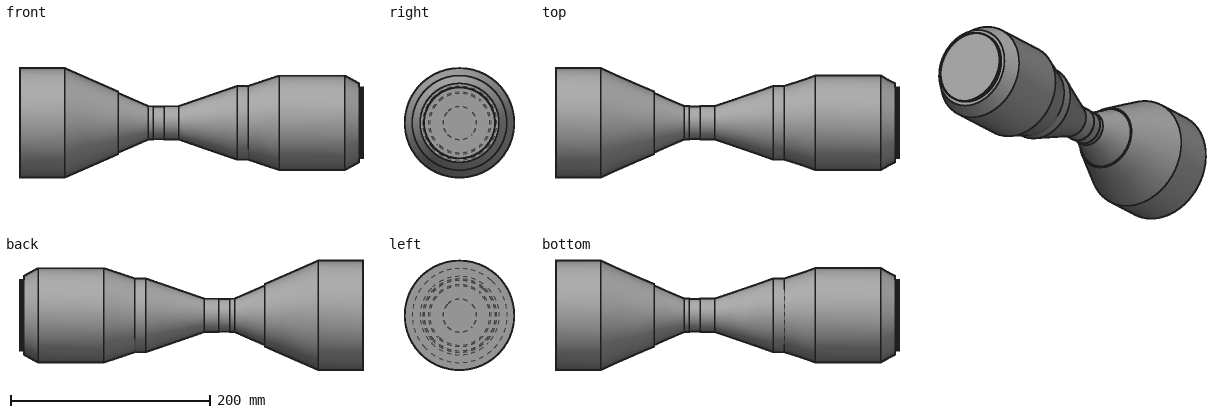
import cadquery as cq

total_length = 344.0
base_end = 44.7
cone_step = 98.7
neck_start = 128.5
neck_band_start = 133.8
neck_band_end = 144.5
neck_end = 159.3
collar_start = 218.0
collar_end = 229.0
head_start = 260.0
head_end = 325.8
head_tip = 340.2
spigot_groove_start = 341.2
spigot_groove_end = 343.0

base_radius = 55.0
upper_cone_radius = 31.3
lower_cone_radius = 30.0
neck_radius = 17.0
neck_band_radius = 16.5
collar_radius = 37.0
head_radius = 47.5
tip_radius = 39.5
spigot_radius = 35.8
spigot_groove_radius = 35.5

outer_profile = [
    (0, base_radius),
    (base_end, base_radius),
    (cone_step, upper_cone_radius),
    (cone_step, lower_cone_radius),
    (neck_start, neck_radius),
    (neck_band_start, neck_radius),
    (neck_band_start, neck_band_radius),
    (neck_band_end, neck_band_radius),
    (neck_band_end, neck_radius),
    (neck_end, neck_radius),
    (collar_start, collar_radius),
    (collar_end, collar_radius),
    (head_start, head_radius),
    (head_end, head_radius),
    (head_tip, tip_radius),
    (head_tip, spigot_radius),
    (spigot_groove_start, spigot_radius),
    (spigot_groove_start, spigot_groove_radius),
    (spigot_groove_end, spigot_groove_radius),
    (spigot_groove_end, spigot_radius),
    (total_length, spigot_radius),
]

result = (
    cq.Workplane("XZ")
    .polyline([(0, 0)] + outer_profile + [(total_length, 0)])
    .close()
    .revolve(360, (0, 0, 0), (1, 0, 0))
)